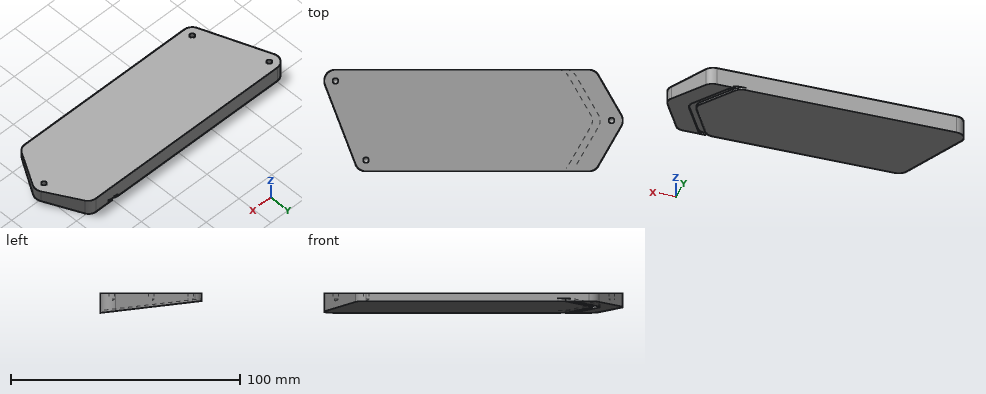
import cadquery as cq
import math

length = 130.4
width = 44.5
corner_radius = 5.0
arrow_angle = math.radians(60)
left_lean = 13.3

back_thickness = 8.7
front_thickness = 3.5

hole_diameter = 2.5
hole_depth = 2.6
drill_point_angle = math.radians(118)

groove_setback = 10.0
groove_width = 3.4
groove_depth = 1.2

half_length = length / 2
half_width = width / 2

tip_center = (half_length - corner_radius, 0)
back_left_center = (-half_length + corner_radius, half_width - corner_radius)
front_left_center = (back_left_center[0] + left_lean, -half_width + corner_radius)

tip_x = tip_center[0] + corner_radius / math.sin(arrow_angle)
shoulder_x = tip_x - half_width / math.tan(arrow_angle)
left_run = front_left_center[1] - back_left_center[1]
left_edge_length = math.hypot(left_lean, left_run)
left_edge_x = back_left_center[0] - corner_radius * left_edge_length / abs(left_run)
lean_per_y = left_lean / left_run
back_left_x = left_edge_x + lean_per_y * corner_radius
front_left_x = left_edge_x + lean_per_y * (-half_width - back_left_center[1])


def make_plate():
    outline = [
        (back_left_x, half_width),
        (shoulder_x, half_width),
        (tip_x, 0),
        (shoulder_x, -half_width),
        (front_left_x, -half_width),
    ]
    plate = cq.Workplane("XY").polyline(outline).close().extrude(back_thickness)
    return plate.edges("|Z").fillet(corner_radius)


def below_slope(raise_by):
    """Wedge of space under the sloping underside, with the slope raised by raise_by."""
    rise = back_thickness - front_thickness
    profile = [
        (half_width, -back_thickness),
        (half_width, raise_by),
        (-half_width, rise + raise_by),
        (-half_width, -back_thickness),
    ]
    return cq.Workplane("YZ").polyline(profile).close().extrude(length, both=True)


def make_chevron_groove():
    plate = make_plate()
    outer_end = plate.translate((-groove_setback, 0, 0))
    inner_end = plate.translate((-groove_setback - groove_width, 0, 0))
    return outer_end.cut(inner_end).intersect(below_slope(groove_depth))


def make_screw_holes():
    hole_radius = hole_diameter / 2
    point_depth = hole_depth + hole_radius / math.tan(drill_point_angle / 2)
    profile = [(0, 0), (hole_radius, 0), (hole_radius, -hole_depth), (0, -point_depth)]
    drill = cq.Workplane("XZ").polyline(profile).close().revolve(360, (0, 0, 0), (0, 1, 0))
    holes = cq.Workplane("XY")
    for x, y in (back_left_center, front_left_center, tip_center):
        holes = holes.add(drill.translate((x, y, back_thickness)))
    return holes.combine()


result = make_plate().cut(below_slope(0)).cut(make_chevron_groove()).cut(make_screw_holes())